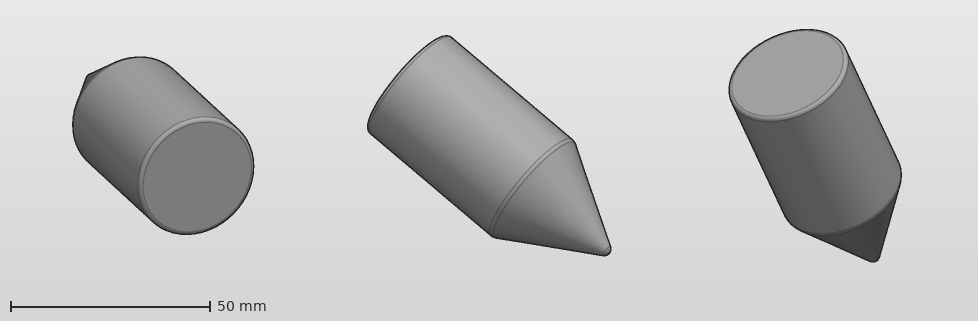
import cadquery as cq
import math

total_length = 68.0
body_diameter = 31.7
cone_half_angle = math.radians(30)
tip_radius = 1.8
shoulder_radius = 2.05
rear_fillet = 1.0

body_radius = body_diameter / 2
rear_x = total_length / 2
tip_x = -total_length / 2

ball_center_x = tip_x + tip_radius
apex_x = ball_center_x - tip_radius / math.sin(cone_half_angle)
tangent_x = ball_center_x - tip_radius * math.sin(cone_half_angle)
tangent_radius = tip_radius * math.cos(cone_half_angle)
shoulder_x = apex_x + body_radius / math.tan(cone_half_angle)

arc_mid_angle = (math.pi / 2 - cone_half_angle) / 2
arc_mid = (
    ball_center_x - tip_radius * math.cos(arc_mid_angle),
    tip_radius * math.sin(arc_mid_angle),
)

profile = (
    cq.Workplane("XY")
    .moveTo(tip_x, 0)
    .threePointArc(arc_mid, (tangent_x, tangent_radius))
    .lineTo(shoulder_x, body_radius)
    .lineTo(rear_x, body_radius)
    .lineTo(rear_x, 0)
    .close()
)
body = profile.revolve(360, (0, 0, 0), (1, 0, 0))

shoulder_edge = cq.selectors.BoxSelector(
    (shoulder_x - shoulder_radius, -body_diameter, -body_diameter),
    (shoulder_x + shoulder_radius, body_diameter, body_diameter),
)
body = body.edges("%CIRCLE").edges(shoulder_edge).fillet(shoulder_radius)

result = body.faces(">X").edges().fillet(rear_fillet)